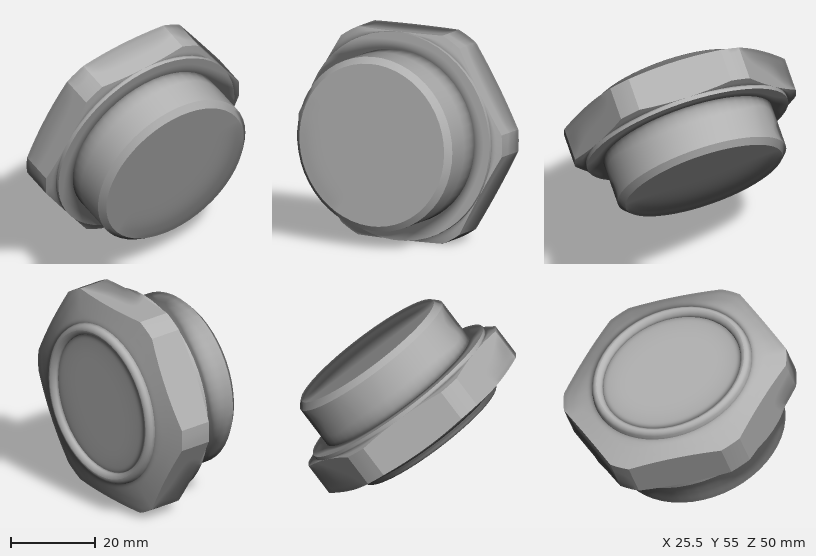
import cadquery as cq
import math

length = 25.5
across_flats = 50.0
corner_radius = 27.5
flat_radius = across_flats / 2

rim_crest_radius = 18.25
rim_round = 1.25
recess_depth = 1.55
recess_radius = 17.0
rim_taper_angle = math.radians(18)
rim_height = 1.7

chamfer_slope = math.tan(math.radians(15))
hex_back = 12.5
collar_back = 13.45

shank_radius = 41.9 / 2
end_chamfer = 1.45


def rim_point(angle):
    """Point on the rim's round, at an angle from the crest (positive is outward)."""
    return (
        rim_round * (1 - math.cos(angle)),
        rim_crest_radius + rim_round * math.sin(angle),
    )


flank_start_angle = math.pi / 2 - rim_taper_angle
flank_start = rim_point(flank_start_angle)
rim_base_radius = flank_start[1] + (rim_height - flank_start[0]) * math.tan(rim_taper_angle)

front_corner_x = rim_height + (corner_radius - rim_base_radius) * chamfer_slope
back_corner_x = hex_back - (corner_radius - flat_radius) * chamfer_slope

wall_width = rim_crest_radius - recess_radius
wall_round = (recess_depth**2 + wall_width**2) / (2 * wall_width)
half_wall_angle = math.asin(recess_depth / wall_round) / 2
wall_middle = (
    recess_depth - wall_round * math.sin(half_wall_angle),
    recess_radius + wall_round * (1 - math.cos(half_wall_angle)),
)

turned_body = (
    cq.Workplane("XY")
    .moveTo(recess_depth, 0)
    .lineTo(recess_depth, recess_radius)
    .threePointArc(wall_middle, rim_point(0))
    .threePointArc(rim_point(flank_start_angle / 2), flank_start)
    .lineTo(rim_height, rim_base_radius)
    .lineTo(front_corner_x, corner_radius)
    .lineTo(back_corner_x, corner_radius)
    .lineTo(hex_back, flat_radius)
    .lineTo(collar_back, flat_radius)
    .lineTo(collar_back, shank_radius)
    .lineTo(length - end_chamfer, shank_radius)
    .lineTo(length, shank_radius - end_chamfer)
    .lineTo(length, 0)
    .close()
    .revolve(360, (0, 0, 0), (1, 0, 0))
)

across_corners = across_flats / math.cos(math.pi / 6)
hex_envelope = cq.Workplane("YZ").polygon(6, across_corners).extrude(length)

result = turned_body.intersect(hex_envelope)